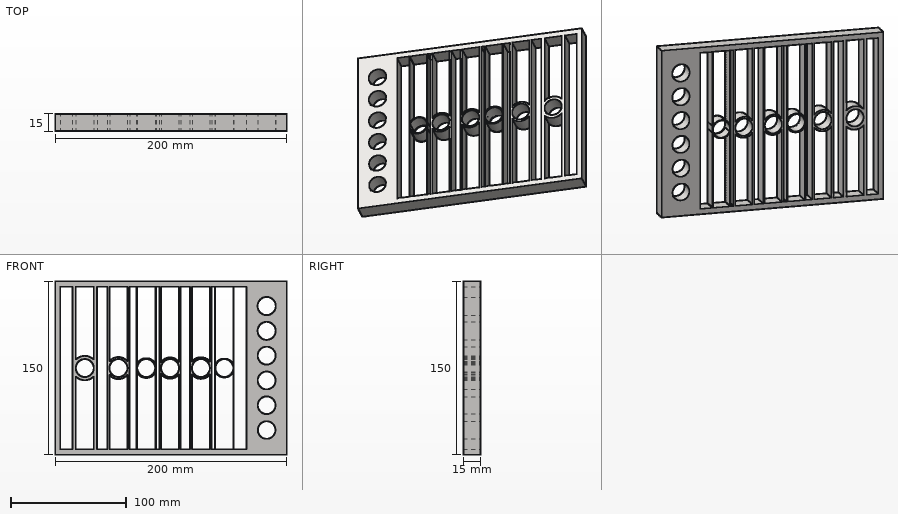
import cadquery as cq

width = 200.0
depth = 15.0
height = 150.0
border = 5.0
left_border = 4.5
panel_width = 35.0

smallest_hole_diameter = 15.0
hole_diameter_step = 0.1
panel_hole_count = 6
panel_hole_pitch = 21.5

tube_bore = smallest_hole_diameter + 3 * hole_diameter_step
tubes = [
    (25.5, 3.0),
    (54.5, 2.0),
    (78.5, 1.0),
    (99.2, 1.5),
    (125.8, 1.8),
    (146.0, 0.5),
]

window_height = height - 2 * border
window_width = width - panel_width - left_border
panel_center_x = width / 2 - panel_width / 2


def block(x_left, block_width, block_height):
    """Full-depth block starting at x_left, centred on the plate in Y and Z."""
    body = cq.Workplane("XY").box(block_width, depth, block_height)
    return body.translate((x_left + block_width / 2, 0, 0))


def rod(x, z, diameter):
    """Full-depth round bar along Y."""
    return cq.Workplane("XZ", origin=(x, depth / 2, z)).circle(diameter / 2).extrude(depth)


result = block(-width / 2, width, height)
result = result.cut(block(-width / 2 + left_border, window_width, window_height))

for distance, wall in tubes:
    x = distance - width / 2
    outside = tube_bore + 2 * wall
    left_rib = block(x - outside / 2, wall, height)
    right_rib = block(x + tube_bore / 2, wall, height)
    result = result.union(left_rib).union(right_rib).union(rod(x, 0, outside))
    result = result.cut(rod(x, 0, tube_bore))

for index in range(panel_hole_count):
    diameter = smallest_hole_diameter + index * hole_diameter_step
    z = (index - (panel_hole_count - 1) / 2) * panel_hole_pitch
    result = result.cut(rod(panel_center_x, z, diameter))